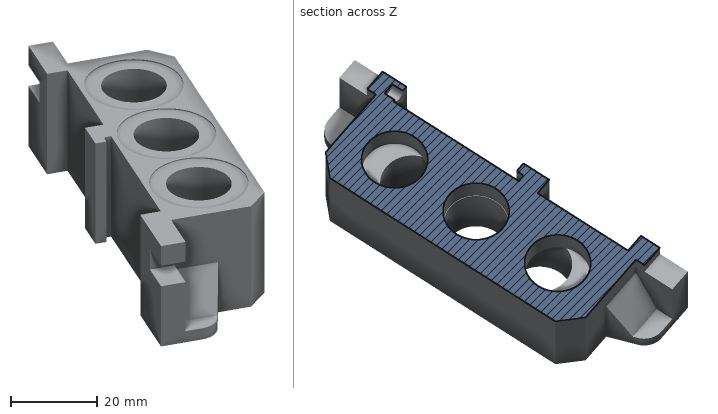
import cadquery as cq
import math

block_length = 75.0
block_height = 27.0
block_back_y = 13.0
block_front_y = -12.5
corner_chamfer = 5.0

upper_bore_pitch = 23.5
upper_bore_diameter = 15.2
upper_bore_depth = 13.5
lower_bore_pitch = 18.35
lower_bore_diameter = 15.0
recess_diameter = 23.0
recess_depth = 0.3

overall_length = 96.0
left_foot_width = 13.5
right_foot_width = 15.0
foot_front_y = -17.5
foot_back_y = -11.5
slot_depth = 8.0
slot_bottom_z = 16.2
slot_height = 5.5
foot_hole_diameter = 3.0
foot_hole_depth = 3.0

gusset_angle = 20.0
gusset_corner_radius = 5.0
gusset_back_y = 0.0
gusset_top_z = 13.5
pad_thickness = 3.0
slope_end_x = 43.5

rib_left_x = -8.5
rib_right_x = -1.0
rib_neck_x = -3.0
rib_front_y = -17.0
rib_notch_width = 1.8
rib_notch_radius = 0.5

peg_diameter = 3.0
peg_length = 2.5
peg_x = 31.0
peg_y = -5.7

half_block = block_length / 2
half_length = overall_length / 2


def box_between(x_min, x_max, y_min, y_max, z_min, z_max):
    """Axis-aligned box given by its limits."""
    size = (x_max - x_min, y_max - y_min, z_max - z_min)
    return cq.Workplane("XY").box(*size, centered=False).translate((x_min, y_min, z_min))


def cylinder(x, y, z_bottom, diameter, height):
    """Vertical cylinder standing on z_bottom."""
    return cq.Workplane("XY", origin=(x, y, z_bottom)).circle(diameter / 2).extrude(height)


def make_block():
    """Rectangular block with its two back vertical corners chamfered."""
    block = box_between(-half_block, half_block, block_front_y, block_back_y, 0, block_height)
    return block.edges("|Z and >Y").chamfer(corner_chamfer)


def make_right_foot(width):
    """Full-height foot at the right end, with an open-ended slot through its front."""
    foot = box_between(half_length - width, half_length, foot_front_y, foot_back_y, 0, block_height)
    slot_top_z = slot_bottom_z + slot_height
    slot_inner_x = half_length - slot_depth
    slot = box_between(slot_inner_x, half_length, foot_front_y, foot_back_y, slot_bottom_z, slot_top_z)
    return foot.cut(slot)


def make_right_gusset():
    """Wedge and pad joining a foot to the end of the block."""
    outer_back_y = gusset_back_y - (half_length - half_block) * math.tan(math.radians(gusset_angle))
    plan = (
        cq.Workplane("XY")
        .polyline([
            (half_block, foot_back_y),
            (half_length, foot_back_y),
            (half_length, outer_back_y),
            (half_block, gusset_back_y),
        ])
        .close()
        .extrude(gusset_top_z)
        .edges(">(1, 1, 0)")
        .fillet(gusset_corner_radius)
    )
    profile = (
        cq.Workplane("XZ", origin=(0, gusset_back_y, 0))
        .polyline([
            (half_block, 0),
            (half_length, 0),
            (half_length, pad_thickness),
            (slope_end_x, pad_thickness),
            (half_block, gusset_top_z),
        ])
        .close()
        .extrude(gusset_back_y - foot_back_y)
    )
    return plan.intersect(profile)


def make_rib():
    """Full-height rib with a hooked front edge."""
    hook_back_y = block_front_y - rib_notch_width
    return (
        cq.Workplane("XY")
        .moveTo(rib_left_x, block_front_y)
        .lineTo(rib_left_x, rib_front_y)
        .lineTo(rib_right_x, rib_front_y)
        .lineTo(rib_right_x, hook_back_y)
        .lineTo(rib_neck_x + rib_notch_radius, hook_back_y)
        .radiusArc((rib_neck_x, hook_back_y + rib_notch_radius), rib_notch_radius)
        .lineTo(rib_neck_x, block_front_y)
        .close()
        .extrude(block_height)
    )


def make_bores():
    """Three recessed bores; below the step they are narrower and the outer two sit closer in."""
    step_z = block_height - upper_bore_depth
    recess_z = block_height - recess_depth
    cutters = cq.Workplane("XY")
    for index in (-1, 0, 1):
        upper_x = index * upper_bore_pitch
        lower_x = index * lower_bore_pitch
        lower_bore = cylinder(lower_x, 0, 0, lower_bore_diameter, step_z)
        upper_bore = cylinder(upper_x, 0, step_z, upper_bore_diameter, upper_bore_depth)
        recess = cylinder(upper_x, 0, recess_z, recess_diameter, recess_depth)
        cutters = cutters.add(lower_bore).add(upper_bore).add(recess)
    return cutters.combine()


def make_foot_hole():
    """Blind hole in the inner face of the right foot, level with its slot."""
    hole_x = half_length - right_foot_width
    hole_y = (foot_front_y + foot_back_y) / 2
    hole_z = slot_bottom_z + slot_height / 2
    return (
        cq.Workplane("YZ", origin=(hole_x, hole_y, hole_z))
        .circle(foot_hole_diameter / 2)
        .extrude(foot_hole_depth)
    )


gusset = make_right_gusset()
right_end = make_right_foot(right_foot_width).union(gusset)
left_end = make_right_foot(left_foot_width).union(gusset).mirror("YZ")

body = make_block().union(make_rib()).union(right_end).union(left_end)
for side in (-1, 1):
    body = body.union(cylinder(side * peg_x, peg_y, -peg_length, peg_diameter, peg_length))

result = body.cut(make_bores()).cut(make_foot_hole())